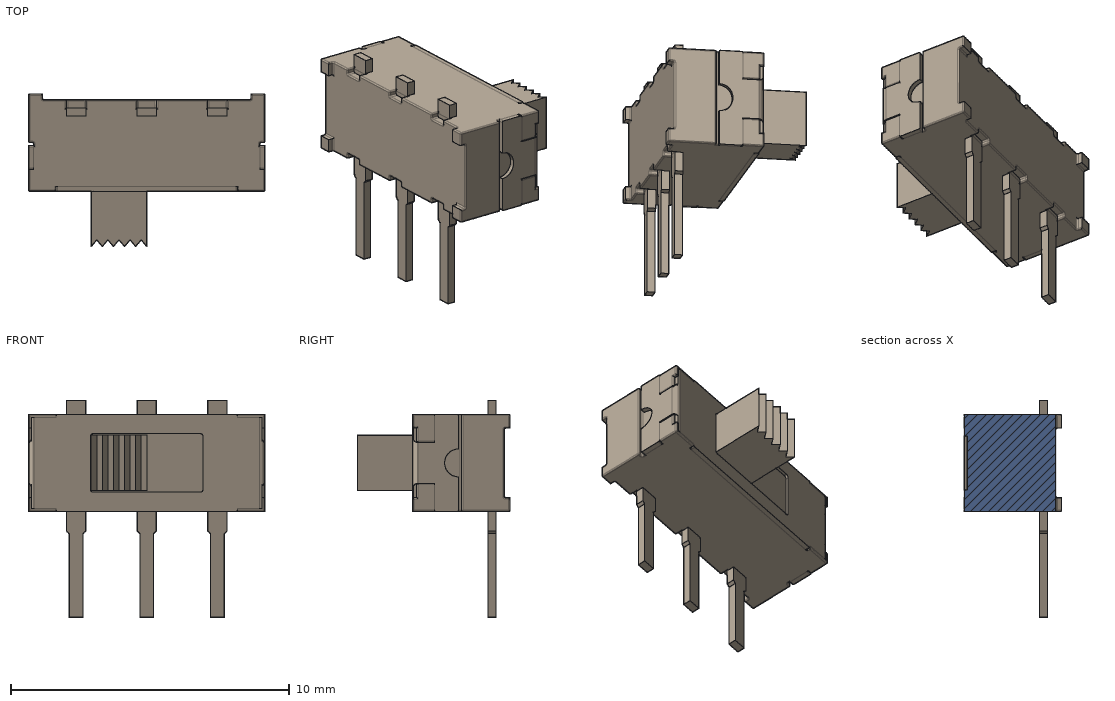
import cadquery as cq

BASE_LENGTH = 8.5
BASE_DEPTH = 3.5
BASE_HEIGHT = 3.5
HALF_LENGTH = BASE_LENGTH / 2
HALF_HEIGHT = BASE_HEIGHT / 2
EDGE_RADIUS = 0.05
INNER_RADIUS = 0.05

FOOT_WIDTH = 0.5
FOOT_DEPTH = 0.2
SEAT_Y = BASE_DEPTH - FOOT_DEPTH

SHEET = 0.18
BEND_RADIUS = 0.195
COVER_CORNER_RADIUS = 0.05
FRONT_TAB_LENGTH = 6.51
SIDE_TAB_START = 0.78
SIDE_TAB_END = 1.65
REAR_GAP = 0.1
THUMB_NOTCH_RADIUS = 0.5

LIP = 0.11
LIP_LENGTH = 0.5
CORNER_BLOCK_HEIGHT = 1.02
POCKET_DEPTH = 0.145

WINDOW_LENGTH = 4.05
WINDOW_HEIGHT = 2.11
WINDOW_RADIUS = 0.1
WINDOW_DEPTH = 0.1

KNOB_SIZE = 2.0
KNOB_REACH = 1.99
TOOTH_COUNT = 5
TOOTH_DEPTH = 0.24

PIN_COUNT = 3
PIN_PITCH = 2.54
PIN_WIDTH = 0.7
PIN_TIP_WIDTH = 0.5
PIN_THICKNESS = 0.3
PIN_BACK_Y = BASE_DEPTH - 0.5
PIN_TOP = HALF_HEIGHT + 0.5
PIN_SHOULDER = -HALF_HEIGHT - 0.7
PIN_BOTTOM = -HALF_HEIGHT - 3.8
PIN_SLOT_HEIGHT = 0.2
SELECTION_MARGIN = 0.01

PIN_PLACES = [(i - (PIN_COUNT - 1) / 2) * PIN_PITCH for i in range(PIN_COUNT)]


def block(x_range, y_range, z_range):
    """Box between two limits along each axis."""
    (x0, x1), (y0, y1), (z0, z1) = x_range, y_range, z_range
    return cq.Workplane("XY").box(x1 - x0, y1 - y0, z1 - z0, centered=False).translate((x0, y0, z0))


def centred_block(length, y_range, height):
    """Box centred on x = 0 and z = 0."""
    return block((-length / 2, length / 2), y_range, (-height / 2, height / 2))


def on_both_ends(shape):
    """The shape together with its mirror image in the YZ plane."""
    return shape.union(shape.mirror("YZ"))


def back_relief():
    """Space between the feet, open along X and along Z."""
    y_range = (SEAT_Y, BASE_DEPTH + FOOT_DEPTH)
    over = 2 * FOOT_WIDTH
    along_z = centred_block(BASE_LENGTH - 2 * FOOT_WIDTH, y_range, BASE_HEIGHT + over)
    along_x = centred_block(BASE_LENGTH + over, y_range, BASE_HEIGHT - 2 * FOOT_WIDTH)
    along_z = along_z.edges("<Y and |Z").fillet(INNER_RADIUS)
    along_x = along_x.edges("<Y and |X").fillet(INNER_RADIUS)
    return along_z.union(along_x)


def rear_gap():
    """Groove across the left end, behind the side plate."""
    groove = block(
        (-HALF_LENGTH - SHEET, -HALF_LENGTH + SHEET),
        (SIDE_TAB_END, SIDE_TAB_END + REAR_GAP),
        (-BASE_HEIGHT, BASE_HEIGHT),
    )
    return groove.edges(">X and >Y").fillet(INNER_RADIUS)


def corner_recess():
    """Space between the left corner blocks, with a pocket in front of each block."""
    x_range = (-HALF_LENGTH - SHEET, -HALF_LENGTH + LIP)
    block_z = HALF_HEIGHT - CORNER_BLOCK_HEIGHT
    pocket_z = HALF_HEIGHT - LIP_LENGTH
    middle = block(x_range, (-SHEET, SIDE_TAB_START), (-block_z, block_z))
    pockets = block(x_range, (-SHEET, POCKET_DEPTH), (-pocket_z, pocket_z))
    return middle.union(pockets)


def front_plate_recess():
    """Shallow room for the front plate between the lips of the corner blocks."""
    return centred_block(BASE_LENGTH - 2 * LIP, (-SHEET, SHEET), BASE_HEIGHT - 2 * LIP)


def front_tab_recess(depth):
    """Notch through the top and bottom edges for the full-height part of the front plate."""
    return centred_block(FRONT_TAB_LENGTH, (-SHEET, depth), 2 * BASE_HEIGHT)


def side_tab_recess():
    """Notch through the top and bottom edges for the full-height part of the left side plate."""
    return block(
        (-HALF_LENGTH - SHEET, -HALF_LENGTH + SHEET),
        (SIDE_TAB_START, SIDE_TAB_END),
        (-BASE_HEIGHT, BASE_HEIGHT),
    )


def pin_slots():
    """Short slots behind each pin in the top and bottom faces."""
    slots = cq.Workplane("XY")
    for x in PIN_PLACES:
        for z in (-HALF_HEIGHT, HALF_HEIGHT):
            slot = block(
                (x - PIN_WIDTH / 2, x + PIN_WIDTH / 2),
                (PIN_BACK_Y, BASE_DEPTH),
                (z - PIN_SLOT_HEIGHT, z + PIN_SLOT_HEIGHT),
            )
            slots = slots.add(slot.edges("|Y").fillet(INNER_RADIUS))
    return slots.combine()


def slot_mouth_edges(body):
    """Edges where the pin slots open to the back, below the top and bottom faces."""
    reach_x = HALF_LENGTH - FOOT_WIDTH
    reach_z = HALF_HEIGHT - SELECTION_MARGIN
    near = SEAT_Y - SELECTION_MARGIN
    far = SEAT_Y + SELECTION_MARGIN
    floor_z = HALF_HEIGHT - PIN_SLOT_HEIGHT - SELECTION_MARGIN
    upper = cq.selectors.BoxSelector((-reach_x, near, floor_z), (reach_x, far, reach_z))
    lower = cq.selectors.BoxSelector((-reach_x, near, -floor_z), (reach_x, far, -reach_z))
    return body.edges(upper).add(body.edges(lower))


def base():
    body = centred_block(BASE_LENGTH, (0, BASE_DEPTH), BASE_HEIGHT)
    body = body.cut(back_relief()).cut(pin_slots())
    body = body.cut(on_both_ends(rear_gap())).cut(on_both_ends(corner_recess()))
    body = body.cut(front_tab_recess(SHEET - EDGE_RADIUS))
    body = body.faces("<Z or >Z or <X or >X").edges().add(slot_mouth_edges(body)).fillet(EDGE_RADIUS)
    body = body.cut(front_plate_recess()).cut(front_tab_recess(SHEET))
    return body.cut(on_both_ends(side_tab_recess()))


def cover_outline():
    """Region that the cover fills, to be intersected with the bent sheet."""
    front_range = (0, BEND_RADIUS)
    front_tab = centred_block(FRONT_TAB_LENGTH, front_range, BASE_HEIGHT)
    front_tab = front_tab.edges("|Y").fillet(COVER_CORNER_RADIUS)
    front_plate = centred_block(BASE_LENGTH - 2 * LIP, front_range, BASE_HEIGHT - 2 * LIP)
    side_tabs = centred_block(BASE_LENGTH, (SIDE_TAB_START, SIDE_TAB_END), BASE_HEIGHT)
    side_tabs = side_tabs.edges("|X").fillet(COVER_CORNER_RADIUS)
    neck_height = BASE_HEIGHT - 2 * CORNER_BLOCK_HEIGHT
    neck = centred_block(BASE_LENGTH, (0, SIDE_TAB_START), neck_height)
    root = (
        cq.Workplane("YZ")
        .moveTo(0, neck_height / 2)
        .lineTo(0, neck_height / 2 + BEND_RADIUS)
        .radiusArc((BEND_RADIUS, neck_height / 2), -BEND_RADIUS)
        .close()
        .extrude(HALF_LENGTH, both=True)
    )
    roots = root.union(root.mirror("XY"))
    return front_tab.union(front_plate).union(side_tabs).union(neck).union(roots)


def cover():
    sheet = centred_block(BASE_LENGTH, (0, SIDE_TAB_END), BASE_HEIGHT)
    sheet = sheet.edges("<Y and |Z").fillet(BEND_RADIUS)
    inside = centred_block(BASE_LENGTH - 2 * SHEET, (SHEET, BASE_DEPTH), BASE_HEIGHT)
    thumb_notches = (
        cq.Workplane("YZ")
        .center(SIDE_TAB_END, 0)
        .circle(THUMB_NOTCH_RADIUS)
        .extrude(HALF_LENGTH, both=True)
    )
    return sheet.cut(inside).intersect(cover_outline()).cut(thumb_notches)


def window():
    opening = centred_block(WINDOW_LENGTH, (0, WINDOW_DEPTH), WINDOW_HEIGHT)
    return opening.edges("|Y").fillet(WINDOW_RADIUS)


def knob():
    """Square slider at the left end of its travel, with a toothed grip."""
    pitch = KNOB_SIZE / TOOTH_COUNT
    outline = cq.Workplane("XY").moveTo(0, SHEET).lineTo(-KNOB_SIZE, SHEET)
    outline = outline.lineTo(-KNOB_SIZE, -KNOB_REACH)
    for i in range(TOOTH_COUNT):
        start = -KNOB_SIZE + i * pitch
        outline = outline.lineTo(start + pitch / 2, -KNOB_REACH + TOOTH_DEPTH)
        outline = outline.lineTo(start + pitch, -KNOB_REACH)
    return outline.close().extrude(KNOB_SIZE / 2, both=True)


def pin(x):
    """Flat pin through the base, tapering at 45 degrees to a narrow tip."""
    wide = PIN_WIDTH / 2
    narrow = PIN_TIP_WIDTH / 2
    taper_end = PIN_SHOULDER - (wide - narrow)
    outline = [
        (-wide, PIN_TOP),
        (wide, PIN_TOP),
        (wide, PIN_SHOULDER),
        (narrow, taper_end),
        (narrow, PIN_BOTTOM),
        (-narrow, PIN_BOTTOM),
        (-narrow, taper_end),
        (-wide, PIN_SHOULDER),
    ]
    blade = cq.Workplane("XZ").polyline(outline).close().extrude(PIN_THICKNESS)
    return blade.translate((x, PIN_BACK_Y, 0))


result = base().union(cover(), clean=False).cut(window(), clean=False)
result = result.union(knob(), clean=False)
for place in PIN_PLACES:
    result = result.union(pin(place), clean=False)